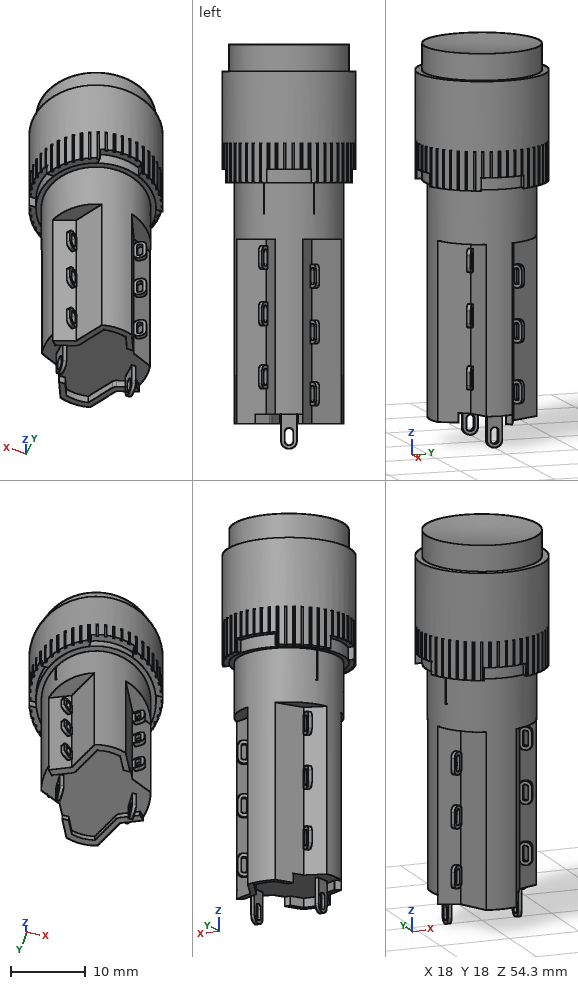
import cadquery as cq
import math


total_height = 54.3
bezel_top = 50.65
groove_top = 41.05
bezel_notch_top = 37.5
bezel_bottom = 35.75
slit_bottom = 31.55
recess_top = 28.15
housing_bottom = 3.35

lens_diameter = 16.1
lens_dish_depth = 0.65
bezel_diameter = 18.0
bezel_notch_width = 6.05
groove_count = 50
groove_width = 0.25
groove_depth = 0.2

barrel_diameter = 14.7
barrel_radius = barrel_diameter / 2
x_lug_half_width = 1.85
y_lug_half_width = 2.15
recess_corner_x = 4.25
recess_corner_y = 3.05

slit_offset = 3.35
slit_width = 0.1
slit_depth = 0.7

wall_thickness = 0.8
cavity_depth = 1.3
cavity_ceiling = housing_bottom + cavity_depth
notch_end_y = 4.5

eyelet_azimuth = 34.0
eyelet_height = 3.2
eyelet_outer_radius = 6.9
eyelet_inner_radius = 5.15
eyelet_thickness = 0.55
eyelet_corner_radius = 0.75
eyelet_rim = 0.5
eyelet_slot_corner_radius = 0.3
upper_eyelet_heights = (25.7, 18.15, 9.65)
lower_eyelet_heights = (23.2, 15.7, 7.4)

terminal_x = 5.05
terminal_width = 2.15
terminal_thickness = 0.55
terminal_slot_width = 1.15
terminal_slot_length = 2.3

x_lug_edge = math.sqrt(barrel_radius**2 - x_lug_half_width**2)
y_lug_edge = math.sqrt(barrel_radius**2 - y_lug_half_width**2)


def cylinder(diameter, bottom, top):
    return cq.Workplane("XY").workplane(offset=bottom).circle(diameter / 2).extrude(top - bottom)


def make_lens_and_sleeve():
    """Solid of revolution with a shallow spherical dish in its top face."""
    radius = lens_diameter / 2
    sphere_radius = (radius**2 + lens_dish_depth**2) / (2 * lens_dish_depth)
    half_chord = radius / 2
    sphere_center = total_height - lens_dish_depth + sphere_radius
    arc_mid_height = sphere_center - math.sqrt(sphere_radius**2 - half_chord**2)
    return (
        cq.Workplane("XZ")
        .moveTo(0, bezel_bottom)
        .lineTo(radius, bezel_bottom)
        .lineTo(radius, total_height)
        .threePointArc((half_chord, arc_mid_height), (0, total_height - lens_dish_depth))
        .close()
        .revolve(360, (0, 0, 0), (0, 1, 0))
    )


def make_corner_recesses():
    """Four V grooves between the lugs, each open to the outside."""
    outside = 2 * barrel_radius
    groove = (
        cq.Workplane("XY")
        .workplane(offset=housing_bottom)
        .moveTo(recess_corner_x, recess_corner_y)
        .lineTo(x_lug_edge, x_lug_half_width)
        .lineTo(outside, outside)
        .lineTo(y_lug_half_width, y_lug_edge)
        .close()
        .extrude(recess_top - housing_bottom)
    )
    half = groove.union(groove.mirror("YZ"))
    return half.union(half.mirror("XZ"))


def make_cavity(barrel):
    """Hollow that follows the outline of the barrel's bottom face at the wall thickness."""
    outline = barrel.faces("<Z").wires().toPending().offset2D(-wall_thickness)
    return outline.extrude(cavity_depth, combine=False)


def make_wall_notch():
    """Opening in the cavity wall from the edge of the -X lug into the next recess on the +Y side."""
    outside = 2 * barrel_radius
    return (
        cq.Workplane("XY")
        .workplane(offset=housing_bottom)
        .moveTo(0, 0)
        .lineTo(wall_thickness - x_lug_edge, wall_thickness - x_lug_half_width)
        .lineTo(-x_lug_edge, -x_lug_half_width)
        .lineTo(-outside, -x_lug_half_width)
        .lineTo(-outside, notch_end_y)
        .lineTo(0, notch_end_y)
        .close()
        .extrude(cavity_depth)
    )


def make_slits():
    """Two thin slots in the -X side."""
    height = bezel_bottom - slit_bottom
    slit_floor_x = math.sqrt(barrel_radius**2 - slit_offset**2) - slit_depth
    slit_length = barrel_radius - slit_floor_x
    slit_center_x = -(slit_floor_x + slit_length / 2)
    return (
        cq.Workplane("XY")
        .workplane(offset=slit_bottom)
        .pushPoints([(slit_center_x, -slit_offset), (slit_center_x, slit_offset)])
        .rect(slit_length, slit_width)
        .extrude(height)
    )


def make_eyelet(azimuth, height):
    """Upright rounded plate with a slot, in a radial plane."""
    length = eyelet_outer_radius - eyelet_inner_radius
    plate = (
        cq.Workplane("XY")
        .box(length, eyelet_thickness, eyelet_height)
        .edges("|Y")
        .fillet(eyelet_corner_radius)
    )
    slot = (
        cq.Workplane("XY")
        .box(length - 2 * eyelet_rim, eyelet_thickness, eyelet_height - 2 * eyelet_rim)
        .edges("|Y")
        .fillet(eyelet_slot_corner_radius)
    )
    mid_radius = (eyelet_outer_radius + eyelet_inner_radius) / 2
    eyelet = plate.cut(slot).translate((mid_radius, 0, height))
    return eyelet.rotate((0, 0, 0), (0, 0, 1), azimuth)


def make_terminal(x):
    """Flat blade with a rounded tip and a slot, its faces square to X."""
    tip_radius = terminal_width / 2
    slot_center = tip_radius + (terminal_slot_length - terminal_slot_width) / 2
    blade = (
        cq.Workplane("YZ")
        .moveTo(-tip_radius, cavity_ceiling)
        .lineTo(-tip_radius, tip_radius)
        .threePointArc((0, 0), (tip_radius, tip_radius))
        .lineTo(tip_radius, cavity_ceiling)
        .close()
        .extrude(terminal_thickness / 2, both=True)
    )
    slot = (
        cq.Workplane("YZ")
        .center(0, slot_center)
        .slot2D(terminal_slot_length, terminal_slot_width, 90)
        .extrude(terminal_thickness / 2, both=True)
    )
    return blade.cut(slot).translate((x, 0, 0))


def make_lamp():
    barrel = cylinder(barrel_diameter, housing_bottom, bezel_bottom).cut(make_corner_recesses())
    lamp = barrel.cut(make_cavity(barrel)).cut(make_slits())
    lamp = lamp.union(make_lens_and_sleeve())

    notch = make_wall_notch()
    for turn in (0, 180):
        lamp = lamp.cut(notch.rotate((0, 0, 0), (0, 0, 1), turn))

    for turn in (0, 180):
        for height in upper_eyelet_heights:
            lamp = lamp.union(make_eyelet(turn - eyelet_azimuth, height))
        for height in lower_eyelet_heights:
            lamp = lamp.union(make_eyelet(turn + eyelet_azimuth, height))

    for side in (-1, 1):
        lamp = lamp.union(make_terminal(side * terminal_x))
    return lamp


def make_bezel():
    """Ring around the sleeve with gripping grooves and four notches in its lower edge."""
    bezel = cylinder(bezel_diameter, bezel_bottom, bezel_top)
    bezel = bezel.cut(cylinder(lens_diameter, bezel_bottom, bezel_top))

    grooves = (
        cq.Workplane("XY")
        .workplane(offset=bezel_bottom)
        .polarArray(bezel_diameter / 2, -90, 360, groove_count)
        .rect(2 * groove_depth, groove_width)
        .extrude(groove_top - bezel_bottom)
    )
    bezel = bezel.cut(grooves)

    notch_height = bezel_notch_top - bezel_bottom
    for length_x, length_y in (
        (bezel_diameter, bezel_notch_width),
        (bezel_notch_width, bezel_diameter),
    ):
        notch = cq.Workplane("XY").workplane(offset=bezel_bottom).rect(length_x, length_y).extrude(notch_height)
        bezel = bezel.cut(notch)
    return bezel


lamp = make_lamp()
bezel = make_bezel()

result = cq.Compound.makeCompound([lamp.val(), bezel.val()])